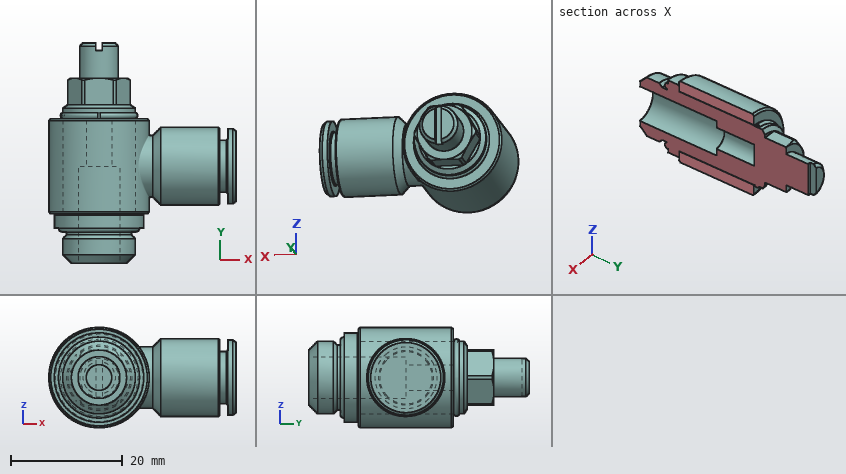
import cadquery as cq
import math


barrel_radius = 9.0
barrel_start = 8.85
barrel_end = 25.9
barrel_chamfer = 0.35
bore_radius = 6.5

arm_y = (barrel_start + barrel_end) / 2
neck_radius = 5.55
neck_end = 9.65
neck_fillet = 0.2
socket_radius = 7.0
socket_end = 21.6
socket_chamfer = 0.25
collet_neck_radius = 4.7
collet_flare = 0.2
collet_neck_end = 22.85
flange_radius = 6.75
flange_start = 23.07
arm_end = 24.58
flange_chamfer_length = 0.6
flange_chamfer_depth = 0.47

thread_radius = bore_radius
tip_chamfer = 1.6
thread_end = 4.43
relief_radius = 5.85
relief_taper = thread_radius - relief_radius

collar_radius = 8.02
collar_start = 6.32
collar_chamfer = 0.2
bead_radius = 0.7
bead_center_radius = relief_radius + bead_radius

ring_radius = 0.55
ring_outer_radius = 6.9
ring_gap = 0.5
ring_end = barrel_end + 2 * ring_radius
shoulder_end = 28.4
shoulder_chamfer = 0.6
shoulder_top_radius = 5.6

hex_across_flats = 10.0
hex_corner_radius = 5.6
hex_end = 33.2
hex_chamfer = 0.35
stem_radius = 3.48
stem_end = 39.5
stem_chamfer = 0.6
slot_width = 1.15
slot_depth = 1.35

inlet_radius = 3.75
inlet_depth = arm_y
inner_passage_radius = 2.3
inner_passage_end = barrel_end


def cylinder_y(radius, start, end):
    """Cylinder about the Y axis between two Y positions."""
    disc = cq.Workplane("XZ", origin=(0, start, 0)).circle(radius)
    return disc.extrude(start - end)


def revolve_y(points):
    """Turn (radius, y) points about the Y axis."""
    profile = cq.Workplane("XY").polyline(points).close()
    return profile.revolve(360, (0, 0, 0), (0, 1, 0))


def bead_y(center_radius, center_y, tube_radius):
    """Round bead about the Y axis."""
    section = cq.Workplane("XY").center(center_radius, center_y).circle(tube_radius)
    return section.revolve(360, (-center_radius, 0, 0), (-center_radius, 1, 0))


def make_barrel():
    barrel = cylinder_y(barrel_radius, barrel_start, barrel_end)
    return barrel.faces("<Y or >Y").edges().chamfer(barrel_chamfer)


def make_neck():
    neck = cq.Workplane("YZ").center(arm_y, 0).circle(neck_radius)
    return neck.extrude(neck_end)


def make_socket():
    """Conical socket with the flanged release collet at its end."""
    cone_end = neck_end + socket_radius - neck_radius
    points = [
        (neck_end, 0),
        (neck_end, neck_radius),
        (cone_end, socket_radius),
        (socket_end - socket_chamfer, socket_radius),
        (socket_end, socket_radius - socket_chamfer),
        (socket_end, collet_neck_radius),
        (collet_neck_end, collet_neck_radius),
        (flange_start, collet_neck_radius + collet_flare),
        (flange_start, flange_radius),
        (arm_end - flange_chamfer_length, flange_radius),
        (arm_end, flange_radius - flange_chamfer_depth),
        (arm_end, 0),
    ]
    profile = cq.Workplane("XY", origin=(0, arm_y, 0)).polyline(points).close()
    return profile.revolve(360, (0, 0, 0), (1, 0, 0))


def make_housing():
    housing = make_barrel().union(make_neck())
    joint_box = cq.selectors.BoxSelector(
        (barrel_radius / 2, arm_y - neck_radius - 0.4, -neck_radius - 0.4),
        (neck_end - neck_fillet, arm_y + neck_radius + 0.4, neck_radius + 0.4),
    )
    joint = housing.edges(joint_box).edges("not %LINE")
    housing = joint.fillet(neck_fillet).union(make_socket())
    return housing.cut(cylinder_y(bore_radius, barrel_start, barrel_end))


def make_turned_bolt():
    """Thread, collar, shank, shoulder and stem as one turned shape."""
    return revolve_y([
        (0, 0),
        (thread_radius - tip_chamfer, 0),
        (thread_radius, tip_chamfer),
        (thread_radius, thread_end),
        (relief_radius, thread_end + relief_taper),
        (relief_radius, collar_start),
        (collar_radius, collar_start),
        (collar_radius, barrel_start - collar_chamfer),
        (collar_radius - collar_chamfer, barrel_start),
        (bore_radius, barrel_start),
        (bore_radius, shoulder_end - shoulder_chamfer),
        (shoulder_top_radius, shoulder_end),
        (stem_radius, shoulder_end),
        (stem_radius, stem_end - stem_chamfer),
        (stem_radius - stem_chamfer, stem_end),
        (0, stem_end),
    ])


def make_snap_ring_bead():
    """Bead around the shoulder, split by a gap on the +Z side."""
    center_radius = ring_outer_radius - ring_radius
    center_y = (barrel_end + ring_end) / 2
    bead = bead_y(center_radius, center_y, ring_radius)
    gap = cq.Workplane("XY", origin=(0, center_y, 0)).rect(ring_gap, 2 * ring_radius)
    return bead.cut(gap.extrude(2 * ring_outer_radius))


def make_hex():
    """Hexagon with flats facing +Z and -Z, its corners turned down and chamfered."""
    corner_diameter = hex_across_flats / math.cos(math.pi / 6)
    hexagon = cq.Workplane("XZ", origin=(0, shoulder_end, 0)).polygon(6, corner_diameter)
    hexagon = hexagon.extrude(shoulder_end - hex_end)
    envelope = revolve_y([
        (0, shoulder_end),
        (hex_corner_radius, shoulder_end),
        (hex_corner_radius, hex_end - hex_chamfer),
        (hex_across_flats / 2, hex_end),
        (0, hex_end),
    ])
    return hexagon.intersect(envelope)


def make_screwdriver_slot():
    floor = cq.Workplane("XZ", origin=(0, stem_end - slot_depth, 0))
    return floor.rect(slot_width, 2 * stem_radius).extrude(-slot_depth)


def make_bolt():
    bolt = make_turned_bolt()
    bolt = bolt.union(bead_y(bead_center_radius, collar_start, bead_radius))
    bolt = bolt.union(make_snap_ring_bead())
    bolt = bolt.union(make_hex())
    bolt = bolt.cut(make_screwdriver_slot())
    bolt = bolt.cut(cylinder_y(inlet_radius, 0, inlet_depth))
    return bolt.cut(cylinder_y(inner_passage_radius, inlet_depth, inner_passage_end))


housing = make_housing()
bolt = make_bolt()

result = cq.Compound.makeCompound([housing.solids().val(), bolt.solids().val()])